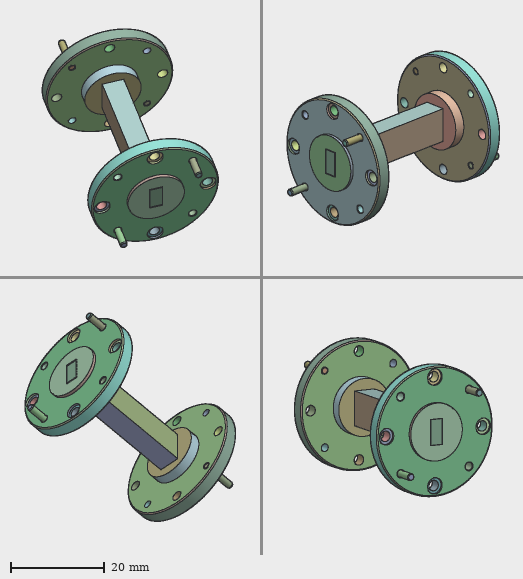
import cadquery as cq
import math

PIN_SPAN = 45.85
FACE_SPAN = 38.05

FLANGE_DIAMETER = 28.55
FLANGE_THICKNESS = 3.25
FLANGE_CHAMFER = 0.28
HUB_DIAMETER = 12.7
HUB_LENGTH = 6.4
HUB_PROJECTION = 0.75

TUBE_WIDTH = 4.85
TUBE_HEIGHT = 7.65
PORT_WIDTH = 2.85
PORT_HEIGHT = 5.7
PORT_DEPTH = 0.25

HOLE_CIRCLE_RADIUS = 11.9
SCREW_HOLE_DIAMETER = 2.3
COUNTERBORE_DIAMETER = 3.58
COUNTERBORE_DEPTH = 0.5
ALIGNMENT_HOLE_DIAMETER = 1.7
ALIGNMENT_HOLE_CHAMFER = 0.15
PIN_HOLE_CHAMFER = 0.15
PIN_DIAMETER = 1.55
PIN_CHAMFER_LENGTH = 0.28
PIN_CHAMFER_DEPTH = 0.15

HUB_FACE_X = -FACE_SPAN / 2
HUB_BACK_X = HUB_FACE_X + HUB_LENGTH
FLANGE_FACE_X = HUB_FACE_X + HUB_PROJECTION
FLANGE_BACK_X = FLANGE_FACE_X + FLANGE_THICKNESS
PIN_TIP_X = -PIN_SPAN / 2
PIN_LENGTH = FLANGE_BACK_X - PIN_TIP_X

SCREW_ANGLES = (0, 90, 180, 270)
PIN_ANGLES = (135, 315)
ALIGNMENT_HOLE_ANGLES = (45, 225)


def circle_points(angles):
    """(Y, Z) places on the hole circle."""
    return [
        (
            HOLE_CIRCLE_RADIUS * math.cos(math.radians(angle)),
            HOLE_CIRCLE_RADIUS * math.sin(math.radians(angle)),
        )
        for angle in angles
    ]


def section_at(x):
    """Workplane at x whose local axes are Y and Z, with its normal along +X."""
    return cq.Workplane("YZ", origin=(x, 0, 0))


def at_other_end(body):
    """Half turn about Z, which takes the -X end to the +X end."""
    return body.rotate((0, 0, 0), (0, 0, 1), 180)


def drill(angles, diameter, depth):
    """Plain drill tools sunk from the outer flange face."""
    return section_at(FLANGE_FACE_X).pushPoints(circle_points(angles)).circle(diameter / 2).extrude(depth)


def drill_chamfered(angles, diameter, chamfer):
    """Drill tools through the flange, flared at the outer face by the chamfer."""
    flare = chamfer + diameter / 2
    profile = [
        (0, 0),
        (0, flare),
        (chamfer, diameter / 2),
        (FLANGE_THICKNESS, diameter / 2),
        (FLANGE_THICKNESS, 0),
    ]
    tool = cq.Workplane("XY").polyline(profile).close().revolve(360, (0, 0, 0), (1, 0, 0)).val()
    tools = cq.Workplane("XY")
    for y, z in circle_points(angles):
        tools = tools.add(tool.translate(cq.Vector(FLANGE_FACE_X, y, z)))
    return tools.combine()


def make_flange():
    """Flange disc and hub of the -X end, with all its holes."""
    disc = section_at(FLANGE_FACE_X).circle(FLANGE_DIAMETER / 2).extrude(FLANGE_THICKNESS)
    disc = disc.edges().chamfer(FLANGE_CHAMFER)
    hub = section_at(HUB_FACE_X).circle(HUB_DIAMETER / 2).extrude(HUB_LENGTH)
    port = section_at(HUB_FACE_X).rect(PORT_WIDTH, PORT_HEIGHT).extrude(PORT_DEPTH)
    return (
        disc.union(hub)
        .cut(port)
        .cut(drill(SCREW_ANGLES, SCREW_HOLE_DIAMETER, FLANGE_THICKNESS))
        .cut(drill(SCREW_ANGLES, COUNTERBORE_DIAMETER, COUNTERBORE_DEPTH))
        .cut(drill_chamfered(ALIGNMENT_HOLE_ANGLES, ALIGNMENT_HOLE_DIAMETER, ALIGNMENT_HOLE_CHAMFER))
        .cut(drill_chamfered(PIN_ANGLES, PIN_DIAMETER, PIN_HOLE_CHAMFER))
    )


def make_waveguide():
    """Tube with a flange at each end, as one body."""
    tube = section_at(HUB_BACK_X).rect(TUBE_WIDTH, TUBE_HEIGHT).extrude(-2 * HUB_BACK_X)
    flange = make_flange()
    return tube.union(flange).union(at_other_end(flange))


def make_pin(y, z):
    """Alignment pin of the -X end, flush with the back of its flange."""
    pin = cq.Workplane("YZ", origin=(PIN_TIP_X, y, z)).circle(PIN_DIAMETER / 2).extrude(PIN_LENGTH)
    for end in ("<X", ">X"):
        pin = pin.faces(end).edges().chamfer(PIN_CHAMFER_LENGTH, PIN_CHAMFER_DEPTH)
    return pin


waveguide = make_waveguide()

pins = []
for pin_y, pin_z in circle_points(PIN_ANGLES):
    pin = make_pin(pin_y, pin_z)
    pins.append(pin.val())
    pins.append(at_other_end(pin).val())

result = cq.Compound.makeCompound([waveguide.val(), *pins])